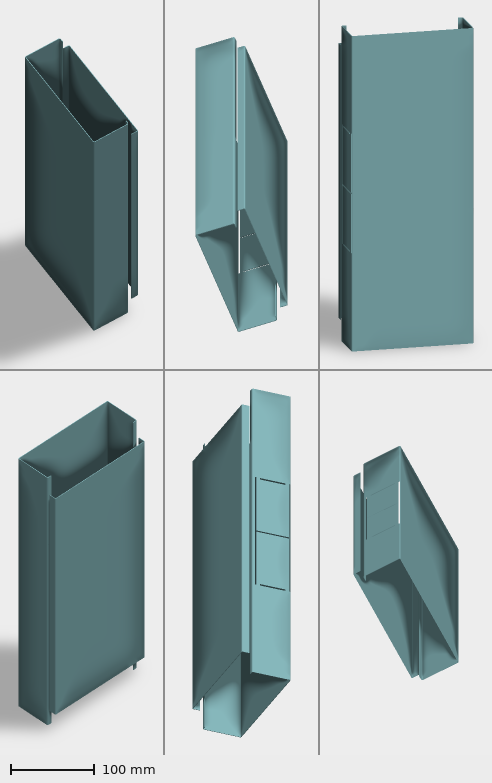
import cadquery as cq

width = 150.0
length = 390.0
total_depth = 63.5
sheet = 0.8
bend_radius = 1.5

trunking_depth = 50.5
lip_width = 6.2
lip_bend_radius = 2.5

cover_length = 340.0
cover_depth = 9.8

knockout_length = 148.0
slot_width = 2.0
middle_slot_width = 1.5
front_slot_y = 1.5
back_slot_y = 45.5
bridge_width = 4.5


def box_between(x_range, y_range, z_range):
    """Box spanning the given (low, high) ranges."""
    sizes = [high - low for low, high in (x_range, y_range, z_range)]
    corner = (x_range[0], y_range[0], z_range[0])
    return cq.Workplane("XY").box(*sizes, centered=False).translate(corner)


def rounded_bar(depth, height, back_radius):
    """Upright bar from Y = 0 to depth with rounded front edges, and rounded back edges if asked."""
    bar = cq.Workplane("XY").box(width, depth, height).translate((0, depth / 2, 0))
    bar = bar.edges("|Z and <Y").fillet(bend_radius)
    if back_radius:
        bar = bar.edges("|Z and >Y").fillet(back_radius)
    return bar


def bent_channel(depth, height, lip_radius=0):
    """Channel bent from sheet; a lip radius above zero leaves a closed tube, otherwise the back is open."""
    inner_width = width - 2 * sheet
    inner_depth = depth - 2 * sheet if lip_radius else depth - sheet
    outer = rounded_bar(depth, height, lip_radius)
    inner = cq.Workplane("XY").box(inner_width, inner_depth, height)
    inner = inner.translate((0, sheet + inner_depth / 2, 0))
    inner = inner.edges("|Z and <Y").fillet(bend_radius - sheet)
    if lip_radius:
        inner = inner.edges("|Z and >Y").fillet(lip_radius - sheet)
    return outer.cut(inner)


def wall_slot(y_range, z_range):
    """Cutter that passes through the -X side wall only, reaching just past the sheet and its bend."""
    return box_between((-width / 2, -width / 2 + bend_radius), y_range, z_range)


def cut_knockouts(body):
    """Outline two flaps, held only by small bridges at their far ends."""
    half_length = knockout_length / 2
    half_slot = slot_width / 2
    for y in (front_slot_y, back_slot_y):
        body = body.cut(wall_slot((y - half_slot, y + half_slot), (-half_length, half_length)))

    flap_front = front_slot_y + half_slot
    flap_back = back_slot_y - half_slot
    half_middle = middle_slot_width / 2
    body = body.cut(wall_slot((flap_front, flap_back), (-half_middle, half_middle)))

    end_slot_range = (flap_front + bridge_width, flap_back - bridge_width)
    for low in (-half_length, half_length - slot_width):
        body = body.cut(wall_slot(end_slot_range, (low, low + slot_width)))
    return body


def make_trunking():
    body = bent_channel(trunking_depth, length, lip_bend_radius)
    half_mouth = width / 2 - lip_width
    mouth = box_between(
        (-half_mouth, half_mouth),
        (trunking_depth - sheet, trunking_depth),
        (-length / 2, length / 2),
    )
    return cut_knockouts(body.cut(mouth))


def make_cover():
    channel = bent_channel(cover_depth, cover_length)
    return channel.rotate((0, 0, 0), (0, 0, 1), 180).translate((0, total_depth, 0))


trunking = make_trunking()
cover = make_cover()
result = cq.Compound.makeCompound([trunking.val(), cover.val()])